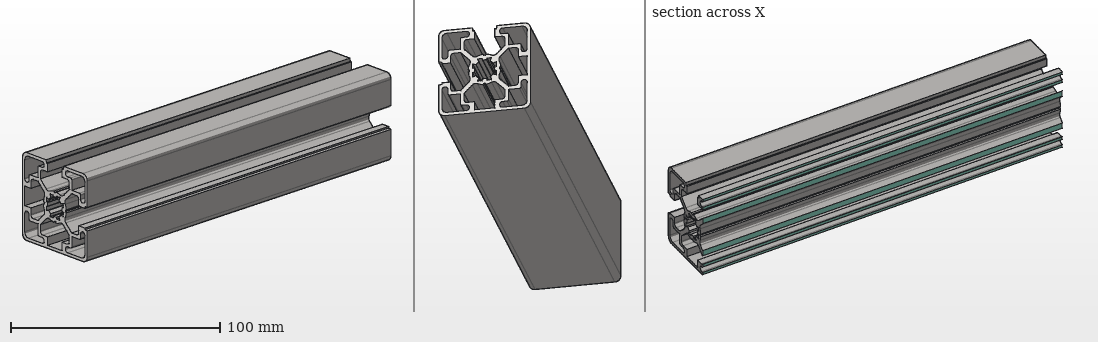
import cadquery as cq
import math

side = 45.0
length = 200.0
corner_radius = 3.0
wall = 1.5
half_side = side / 2
inner_face = half_side - wall

mouth_half_width = 5.0
rebate_half_width = 5.8
rebate_flare = 0.25
lip_bottom = 16.5
chamber_half_width = 10.0
chamber_corner_radius = 1.5

core_radius = 8.0
web_thickness = 2.5
core_fillet = 2.2
mark_half_width = 0.8
mark_floor_half_width = 0.3
mark_depth = 0.5

bore_radius = 5.0
recess_height = 5.8
ridge_tip_half_width = 1.0
ridge_root_half_width = 1.2
tooth_tip_offset = 2.8
tooth_root_offset = 3.5

hollow_start = 11.8
finger_width = 3.0
finger_end = 7.5
hollow_step_radius = 0.8
hollow_outer_radius = 2.5


def section():
    """Sketch plane across the extrusion: local x is X, local y is Z."""
    return cq.Workplane("XZ")


def run(sketch):
    """Extrude a closed section along the full length, centred on Y = 0."""
    return sketch.extrude(length / 2, both=True)


def turned(body, quarter_turns):
    """Rotate a body about the Y axis by quarter turns, +Z moving towards +X."""
    return body.rotate((0, 0, 0), (0, 1, 0), 90 * quarter_turns)


def slot_chamber():
    """Wide inner part of the slot facing +Z, bounded below by the webs and the core."""
    web_offset = web_thickness / math.sqrt(2)
    fillet_reach = core_radius + core_fillet
    from_diagonal = math.asin((web_thickness / 2 + core_fillet) / fillet_reach)
    fillet_angle = math.pi / 4 + from_diagonal
    fillet_x = fillet_reach * math.cos(fillet_angle)
    fillet_z = fillet_reach * math.sin(fillet_angle)
    web_contact_angle = 1.75 * math.pi
    core_contact_angle = fillet_angle + math.pi
    on_web = (
        fillet_x + core_fillet * math.cos(web_contact_angle),
        fillet_z + core_fillet * math.sin(web_contact_angle),
    )
    on_core = (
        core_radius * math.cos(fillet_angle),
        core_radius * math.sin(fillet_angle),
    )
    mid_angle = (web_contact_angle + core_contact_angle) / 2
    fillet_mid = (
        fillet_x + core_fillet * math.cos(mid_angle),
        fillet_z + core_fillet * math.sin(mid_angle),
    )
    core_mid_angle = (fillet_angle + math.pi / 2) / 2
    core_mid = (
        core_radius * math.cos(core_mid_angle),
        core_radius * math.sin(core_mid_angle),
    )
    half = (
        section()
        .moveTo(0, lip_bottom)
        .lineTo(chamber_half_width, lip_bottom)
        .lineTo(chamber_half_width, chamber_half_width + web_offset)
        .lineTo(*on_web)
        .threePointArc(fillet_mid, on_core)
        .threePointArc(core_mid, (0, core_radius))
        .close()
    )
    corner = cq.selectors.NearestToPointSelector((chamber_half_width, 0, lip_bottom))
    body = run(half).edges(corner).fillet(chamber_corner_radius)
    return body.union(body.mirror("YZ"))


def centre_mark():
    """Narrow tapered line cut into the core at the bottom of the slot facing +Z."""
    return run(
        section()
        .moveTo(-mark_floor_half_width, core_radius - mark_depth)
        .lineTo(mark_floor_half_width, core_radius - mark_depth)
        .lineTo(mark_half_width, core_radius)
        .lineTo(-mark_half_width, core_radius)
        .close()
    )


def slot_mouth(open_slot):
    """Gap between the lips; an open one widens into a flared rebate at the outer face."""
    height = inner_face - lip_bottom
    mouth = run(
        section()
        .center(0, lip_bottom + height / 2)
        .rect(2 * mouth_half_width, height)
    )
    if open_slot:
        flared = rebate_half_width + rebate_flare
        rebate = (
            section()
            .moveTo(-rebate_half_width, inner_face)
            .lineTo(-flared, half_side)
            .lineTo(flared, half_side)
            .lineTo(rebate_half_width, inner_face)
            .close()
        )
        mouth = mouth.union(run(rebate))
    return mouth


def slot(open_slot):
    return slot_chamber().union(slot_mouth(open_slot)).union(centre_mark())


def corner_hollow():
    """Hollow in the +X +Z corner, symmetric about the diagonal."""
    size = inner_face - hollow_start
    middle = hollow_start + size / 2
    hollow = run(section().center(middle, middle).rect(size, size))
    hollow = hollow.edges(">X and >Z").fillet(hollow_outer_radius)

    finger_length = hollow_start + finger_width - finger_end
    along = finger_end + finger_length / 2
    across = inner_face - finger_width / 2
    for x, z, angle in ((along, across, 0), (across, along, 90)):
        finger = section().center(x, z).slot2D(finger_length, finger_width, angle)
        hollow = hollow.union(run(finger))

    step = inner_face - finger_width
    for x, z in ((hollow_start, step), (step, hollow_start)):
        corner = cq.selectors.NearestToPointSelector((x, 0, z))
        hollow = hollow.edges(corner).fillet(hollow_step_radius)
    return hollow


def core_bore():
    """Round bore with a pair of mirrored recesses beside each of its four ridges."""
    ridge_tip_height = math.sqrt(bore_radius**2 - ridge_tip_half_width**2)
    tooth_tip_height = math.sqrt(bore_radius**2 - tooth_tip_offset**2)
    recess = run(
        section()
        .moveTo(ridge_tip_half_width, ridge_tip_height)
        .lineTo(ridge_root_half_width, recess_height)
        .lineTo(tooth_root_offset, recess_height)
        .lineTo(tooth_tip_offset, tooth_tip_height)
        .close()
    )
    bore = run(section().circle(bore_radius))
    for quarter in range(4):
        bore = bore.union(turned(recess, quarter))
        bore = bore.union(turned(recess.mirror("YZ"), quarter))
    return bore


result = run(section().rect(side, side)).edges("|Y").fillet(corner_radius)
for quarter in range(4):
    result = result.cut(turned(slot(quarter < 2), quarter))
    result = result.cut(turned(corner_hollow(), quarter))
result = result.cut(core_bore())